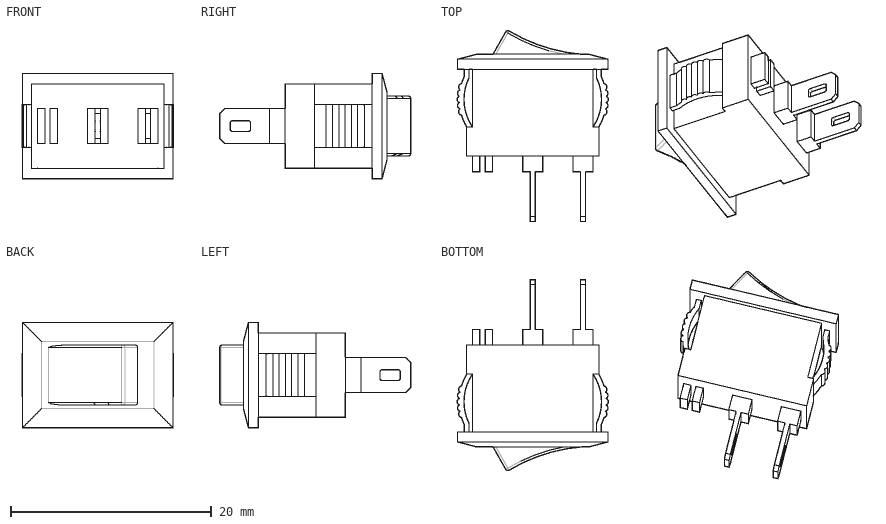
import cadquery as cq
import math


BEZEL_WIDTH = 15.0
BEZEL_HEIGHT = 10.5
BEZEL_RIM = 1.0
BEZEL_THICKNESS = 1.5
BEZEL_SLOPE_INSET = 1.9

BODY_WIDTH = 12.0
BODY_HEIGHT = 8.4
BASE_WIDTH = 13.2
BASE_START = 5.75
BASE_END = 8.65

ROCKER_HEIGHT = 6.0
ROCKER_FILLET = 0.25
ROCKER_ROOT_X = -3.96
ROCKER_TIP = (-2.57, 3.95)
ROCKER_ARC_MIDDLE = (0.0, 2.65)
ROCKER_ARC_END = (4.9, BEZEL_THICKNESS)
ROCKER_DEPTH_IN_BEZEL = 0.5

CLIP_HEIGHT = 4.25
CLIP_THICKNESS = 0.5
CLIP_STEM_X = 6.83
CLIP_OUTER_RADIUS = 5.4
CLIP_INNER_RADIUS = CLIP_OUTER_RADIUS - CLIP_THICKNESS
CLIP_CENTER_X = 1.93
CLIP_CENTER_Y = -3.0
RIB_COUNT = 5
RIB_PITCH = 0.63
RIB_PROJECTION = 0.2

GUIDE_CENTERS = (-5.0, 0.0, 5.0)
GUIDE_WIDTH = 2.0
GUIDE_LENGTH = 1.55
TERMINAL_CENTERS = GUIDE_CENTERS[1:]
TERMINAL_THICKNESS = 0.5
TERMINAL_HEIGHT = 3.5
TERMINAL_END = 15.16
TERMINAL_CHAMFER = 0.5
EYE_CENTER = 13.1
EYE_LENGTH = 2.0
EYE_HEIGHT = 1.05
EYE_CORNER_RADIUS = 0.2


def block(width, height, y_start, y_end, x_center=0.0):
    """Box centred on Z = 0 that reaches from y_start to y_end."""
    box = cq.Workplane("XY").box(width, y_end - y_start, height)
    return box.translate((x_center, (y_start + y_end) / 2, 0))


def make_bezel():
    """Rectangular rim topped by a sloping border."""
    rim = block(BEZEL_WIDTH, BEZEL_HEIGHT, 0, BEZEL_RIM)
    border = (
        cq.Workplane("XZ", origin=(0, BEZEL_RIM, 0))
        .rect(BEZEL_WIDTH, BEZEL_HEIGHT)
        .workplane(offset=BEZEL_RIM - BEZEL_THICKNESS)
        .rect(BEZEL_WIDTH - 2 * BEZEL_SLOPE_INSET, BEZEL_HEIGHT - 2 * BEZEL_SLOPE_INSET)
        .loft(ruled=True)
    )
    return rim.union(border)


def make_housing():
    """Narrow body behind the bezel, ending in a wider base."""
    body = block(BODY_WIDTH, BODY_HEIGHT, -BASE_END, 0)
    base = block(BASE_WIDTH, BODY_HEIGHT, -BASE_END, -BASE_START)
    return body.union(base)


def make_rocker():
    """Tilted rocker with a hollow-curved top, rounded on all exposed edges."""
    tip_x, tip_y = ROCKER_TIP
    flank_slope = (tip_x - ROCKER_ROOT_X) / (tip_y - BEZEL_THICKNESS)
    floor_y = BEZEL_THICKNESS - ROCKER_DEPTH_IN_BEZEL
    floor_x = ROCKER_ROOT_X - flank_slope * ROCKER_DEPTH_IN_BEZEL
    end_x = ROCKER_ARC_END[0]
    rocker = (
        cq.Workplane("XY")
        .moveTo(floor_x, floor_y)
        .lineTo(tip_x, tip_y)
        .threePointArc(ROCKER_ARC_MIDDLE, ROCKER_ARC_END)
        .lineTo(end_x, floor_y)
        .close()
        .extrude(ROCKER_HEIGHT / 2, both=True)
    )
    return rocker.edges("not(<Y or >X)").fillet(ROCKER_FILLET)


def clip_point(radius, y):
    """Point at the given Y on the left clip's arc of the given radius."""
    return (-CLIP_CENTER_X - math.sqrt(radius**2 - (y - CLIP_CENTER_Y) ** 2), y)


def clip_arc_y(radius, x):
    """Upper Y at which the left clip's arc of the given radius crosses x."""
    return CLIP_CENTER_Y + math.sqrt(radius**2 - (x + CLIP_CENTER_X) ** 2)


def make_left_clip():
    """Bowed spring clip with a straight stem and rounded grip ribs."""
    outer_x = -CLIP_STEM_X
    inner_x = outer_x + CLIP_THICKNESS
    outer_start = (outer_x, clip_arc_y(CLIP_OUTER_RADIUS, outer_x))
    inner_start = (inner_x, clip_arc_y(CLIP_INNER_RADIUS, inner_x))
    rib_radius = CLIP_OUTER_RADIUS + RIB_PROJECTION
    ribs_top = CLIP_CENTER_Y + RIB_COUNT * RIB_PITCH / 2
    ribs_bottom = ribs_top - RIB_COUNT * RIB_PITCH

    outline = cq.Workplane("XY").moveTo(inner_x, 0).lineTo(outer_x, 0).lineTo(*outer_start)
    outline = outline.threePointArc(
        clip_point(CLIP_OUTER_RADIUS, (outer_start[1] + ribs_top) / 2),
        clip_point(CLIP_OUTER_RADIUS, ribs_top),
    )
    for rib in range(RIB_COUNT):
        rib_start = ribs_top - rib * RIB_PITCH
        outline = outline.threePointArc(
            clip_point(rib_radius, rib_start - RIB_PITCH / 2),
            clip_point(CLIP_OUTER_RADIUS, rib_start - RIB_PITCH),
        )
    outline = (
        outline.threePointArc(
            clip_point(CLIP_OUTER_RADIUS, (ribs_bottom - BASE_START) / 2),
            clip_point(CLIP_OUTER_RADIUS, -BASE_START),
        )
        .lineTo(*clip_point(CLIP_INNER_RADIUS, -BASE_START))
        .threePointArc(clip_point(CLIP_INNER_RADIUS, CLIP_CENTER_Y), inner_start)
        .close()
    )
    return outline.extrude(CLIP_HEIGHT / 2, both=True)


def make_guides(x_center):
    """Pair of blocks flanking a terminal slot."""
    guide_end = -BASE_END - GUIDE_LENGTH
    pair = block(GUIDE_WIDTH, TERMINAL_HEIGHT, guide_end, -BASE_END, x_center)
    slot = block(TERMINAL_THICKNESS, TERMINAL_HEIGHT, guide_end, -BASE_END, x_center)
    return pair.cut(slot)


def make_terminal(x_center):
    """Flat blade with chamfered end corners and a rounded rectangular eye."""
    blade = block(TERMINAL_THICKNESS, TERMINAL_HEIGHT, -TERMINAL_END, -BASE_END, x_center)
    blade = blade.faces("<Y").edges("|X").chamfer(TERMINAL_CHAMFER)
    eye_start = -EYE_CENTER - EYE_LENGTH / 2
    eye = block(TERMINAL_THICKNESS, EYE_HEIGHT, eye_start, eye_start + EYE_LENGTH, x_center)
    return blade.cut(eye.edges("|X").fillet(EYE_CORNER_RADIUS))


left_clip = make_left_clip()
result = make_housing().union(make_bezel()).union(make_rocker())
result = result.union(left_clip).union(left_clip.mirror("YZ"))
for guide_x in GUIDE_CENTERS:
    result = result.union(make_guides(guide_x))
for terminal_x in TERMINAL_CENTERS:
    result = result.union(make_terminal(terminal_x))